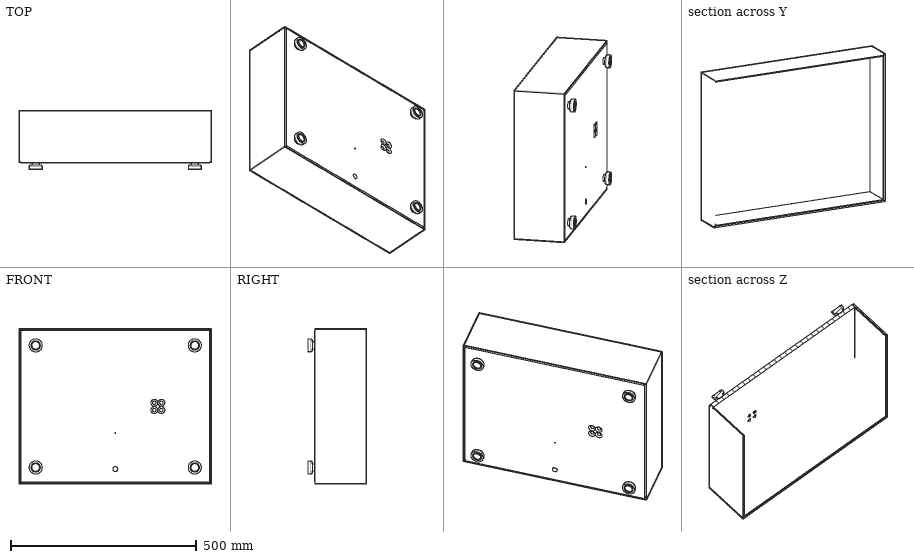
import cadquery as cq

width = 520.0
height = 420.0
housing_depth = 140.0
wall = 2.0
corner_radius = 2.0

lid_inset = 5.5
lid_thickness = 13.0
lid_protrusion = 1.5
lid_front = -lid_protrusion

frame_inset = 3.5
frame_thickness = 4.0

socket_spacing_x = 19.0
socket_spacing_z = 20.0
socket_center_x = 115.0
socket_rim_radius = 9.5
socket_bore_radius = 4.5
socket_cone_depth = 3.5

cable_hole_radius = 7.0
cable_hole_z = -169.0
pin_hole_radius = 1.0
pin_hole_z = -72.0

foot_x = 215.0
foot_z = 165.0
foot_height = 17.5
foot_radius = 17.5
shoulder_radius = 5.0
neck_radius = 10.0
neck_height = 5.0
groove_outer_radius = 12.5
groove_inner_radius = 10.5
groove_depth = 1.5


def inset_block(inset, start_y, end_y):
    """Block inset from the sides of the housing, between two Y planes."""
    block = cq.Workplane().box(
        width - 2 * inset, end_y - start_y, height - 2 * inset, centered=(True, False, True)
    )
    return block.translate((0, start_y, 0))


def sketch_plane(x, y, z):
    """Workplane facing +Y, so that extrusions run toward +Y."""
    return cq.Workplane(cq.Plane((x, y, z), xDir=(1, 0, 0), normal=(0, 1, 0)))


def make_housing():
    outer = inset_block(0, 0, housing_depth).edges("|Y or >Y").fillet(corner_radius)
    return outer.cut(inset_block(wall, 0, housing_depth - wall))


def make_socket_cutter(x, z):
    cone = (
        sketch_plane(x, lid_front, z)
        .circle(socket_rim_radius)
        .workplane(offset=socket_cone_depth)
        .circle(socket_bore_radius)
        .loft()
    )
    bore = sketch_plane(x, lid_front, z).circle(socket_bore_radius).extrude(lid_thickness)
    return cone.union(bore)


def make_lid():
    lid = inset_block(lid_inset, lid_front, lid_front + lid_thickness)
    for side_x in (-1, 1):
        for side_z in (-1, 1):
            x = socket_center_x + side_x * socket_spacing_x / 2
            z = side_z * socket_spacing_z / 2
            lid = lid.cut(make_socket_cutter(x, z))
    for z, radius in ((cable_hole_z, cable_hole_radius), (pin_hole_z, pin_hole_radius)):
        lid = lid.cut(sketch_plane(0, lid_front, z).circle(radius).extrude(lid_thickness))
    return lid


def make_frame():
    front = lid_front + lid_thickness
    floor = housing_depth - wall
    outer = inset_block(frame_inset, front, floor)
    return outer.cut(inset_block(frame_inset + frame_thickness, front, floor))


def make_foot(x, z):
    base = sketch_plane(x, lid_front - foot_height, z)
    pad = base.circle(foot_radius).extrude(foot_height - neck_height)
    pad = pad.faces(">Y").edges().fillet(shoulder_radius)
    neck = base.circle(neck_radius).extrude(foot_height)
    groove = base.circle(groove_outer_radius).circle(groove_inner_radius).extrude(groove_depth)
    return pad.union(neck).cut(groove)


housing = make_housing()
lid = make_lid()
frame = make_frame()
feet = [make_foot(x, z) for x in (-foot_x, foot_x) for z in (-foot_z, foot_z)]

result = cq.Compound.makeCompound(
    [housing.val(), lid.val(), frame.val(), *[foot.val() for foot in feet]]
)